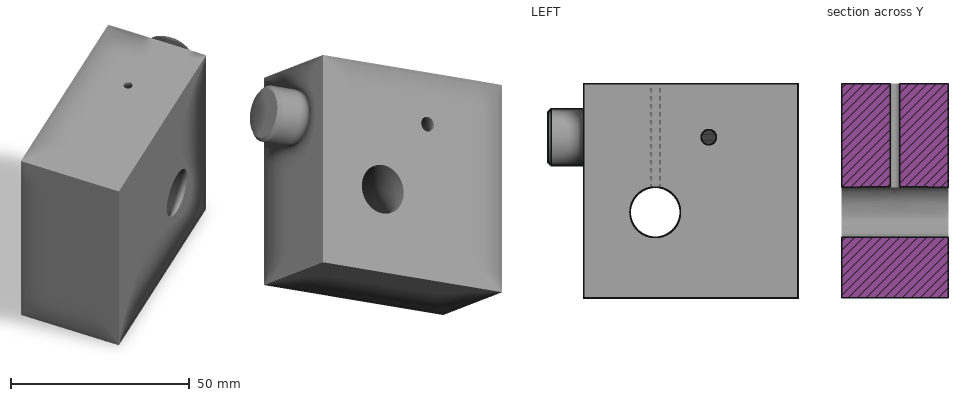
import cadquery as cq

block_width = 30.0
block_side = 60.0
overall_length = 70.0

plug_diameter = 15.95
plug_height = 45.0
plug_projection = overall_length - block_side
plug_chamfer = 1.0

bore_diameter = 14.0
bore_setback = 20.0
bore_height = 24.0

screw_hole_diameter = 2.5
screw_hole_depth = block_side - bore_height

side_hole_diameter = 4.2
side_hole_setback = 35.0
crown_rise = 0.05
side_hole_depth = (block_width - plug_diameter) / 2 + crown_rise

plug_inner_length = side_hole_setback + side_hole_diameter / 2


def hole_along_x(diameter, setback, height, depth):
    """Cylinder running from the -X side into the block."""
    return (
        cq.Workplane("YZ", origin=(-block_width / 2, -setback, height))
        .circle(diameter / 2)
        .extrude(depth)
    )


def make_block():
    """Rectangular block behind the XZ plane, standing on the XY plane."""
    return (
        cq.Workplane("XY", origin=(0, -block_side, 0))
        .box(block_width, block_side, block_side, centered=(True, False, False))
    )


def make_plug():
    """Cylinder along Y with a chamfer around its outer end."""
    return (
        cq.Workplane("XZ", origin=(0, plug_projection, plug_height))
        .circle(plug_diameter / 2)
        .extrude(plug_inner_length + plug_projection)
        .faces(">Y")
        .chamfer(plug_chamfer)
    )


def make_screw_hole():
    """Cylinder from the top of the block down into the cross bore."""
    return (
        cq.Workplane("XY", origin=(0, -bore_setback, block_side))
        .circle(screw_hole_diameter / 2)
        .extrude(-screw_hole_depth)
    )


side_hole = hole_along_x(side_hole_diameter, side_hole_setback, plug_height, side_hole_depth)
cross_bore = hole_along_x(bore_diameter, bore_setback, bore_height, block_width)

result = (
    make_block()
    .cut(side_hole)
    .union(make_plug())
    .cut(cross_bore)
    .cut(make_screw_hole())
)